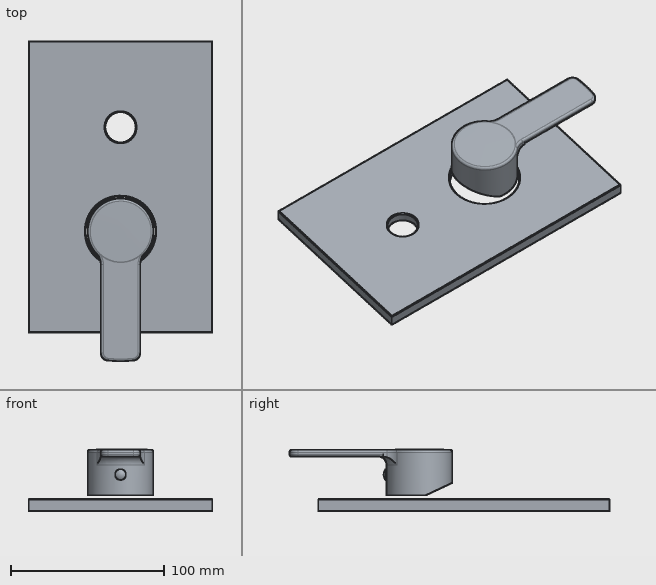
import cadquery as cq
import math


OVERALL_LENGTH = 209

PLATE_WIDTH = 120.0
PLATE_BACK = 124.0
PLATE_FRONT = 66.0
PLATE_THICKNESS = 8.0
PLATE_BEVEL = 0.5
HANDLE_HOLE_DIAMETER = 45.3
SIDE_HOLE_DIAMETER = 19.6
SIDE_HOLE_Y = 68.0
HOLE_UPPER_BEVEL = 0.73
HOLE_LOWER_BEVEL = 1.5

TOP_Z = 40.3
CAP_DIAMETER = 43.0
CAP_HEIGHT = 30.0
TOP_ROUNDING = 1.7
CAP_DOME_RISE = 0.2
SLOPE_START_Y = 4.2
SLOPE_RISE = 8.1

LEVER_WIDTH = 26.0
LEVER_THICKNESS = 4.5
LEVER_REACH = OVERALL_LENGTH - PLATE_BACK
LEVER_CORNER_RADIUS = 5.2
LEVER_END_BULGE = 1.0
LEVER_UNDER_ROUNDING = 1.5

NECK_SIDE_RADIUS = 9.5
NECK_UNDER_RADIUS = 5.2

BUTTON_DIAMETER = 7.0
BUTTON_STANDOFF = 0.5
BUTTON_DOME_RISE = 1.5
BUTTON_DROP = 16.5

CAP_RADIUS = CAP_DIAMETER / 2
CAP_BOTTOM_Z = TOP_Z - CAP_HEIGHT
LEVER_HALF_WIDTH = LEVER_WIDTH / 2
RIM_Z = TOP_Z - CAP_DOME_RISE
LEVER_BOTTOM_Z = RIM_Z - LEVER_THICKNESS


def make_dome(base_radius, rise):
    """Shallow spherical dome standing on the XY plane."""
    return (
        cq.Workplane("XZ")
        .lineTo(base_radius, 0)
        .radiusArc((0, rise), -(base_radius**2 + rise**2) / (2 * rise))
        .close()
        .revolve(360, (0, 0, 0), (0, 1, 0))
    )


def beveled_hole(diameter, y):
    """Cutter for a through hole in the plate, beveled at both rims."""
    radius = diameter / 2
    return (
        cq.Workplane("XZ")
        .lineTo(radius + HOLE_LOWER_BEVEL, 0)
        .lineTo(radius, HOLE_LOWER_BEVEL)
        .lineTo(radius, PLATE_THICKNESS - HOLE_UPPER_BEVEL)
        .lineTo(radius + HOLE_UPPER_BEVEL, PLATE_THICKNESS)
        .lineTo(0, PLATE_THICKNESS)
        .close()
        .revolve(360, (0, 0, 0), (0, 1, 0))
        .translate((0, y, 0))
    )


def make_plate():
    """Plate with beveled upper edges and two through holes."""
    plate = (
        cq.Workplane("XY")
        .center(0, (PLATE_BACK - PLATE_FRONT) / 2)
        .rect(PLATE_WIDTH, PLATE_BACK + PLATE_FRONT)
        .extrude(PLATE_THICKNESS)
        .faces(">Z")
        .edges()
        .chamfer(PLATE_BEVEL)
    )
    plate = plate.cut(beveled_hole(HANDLE_HOLE_DIAMETER, 0))
    return plate.cut(beveled_hole(SIDE_HOLE_DIAMETER, SIDE_HOLE_Y))


def make_cap():
    """Round, slightly domed cap whose underside slopes up toward the back."""
    dome = make_dome(CAP_RADIUS, CAP_DOME_RISE).translate((0, 0, RIM_Z))
    cap = (
        cq.Workplane("XY", origin=(0, 0, CAP_BOTTOM_Z))
        .circle(CAP_RADIUS)
        .extrude(RIM_Z - CAP_BOTTOM_Z)
        .union(dome)
        .edges(cq.selectors.RadiusNthSelector(0))
        .edges(">Z")
        .fillet(TOP_ROUNDING)
    )
    slope = (
        cq.Workplane("YZ")
        .moveTo(SLOPE_START_Y, CAP_BOTTOM_Z)
        .lineTo(CAP_RADIUS, CAP_BOTTOM_Z)
        .lineTo(CAP_RADIUS, CAP_BOTTOM_Z + SLOPE_RISE)
        .close()
        .extrude(CAP_RADIUS, both=True)
    )
    return cap.cut(slope)


def lever_outline():
    """Plan of the lever: flared where it leaves the cap, rounded and slightly bulged at its end."""
    flare_x = LEVER_HALF_WIDTH + NECK_SIDE_RADIUS
    flare_y = -math.sqrt((CAP_RADIUS + NECK_SIDE_RADIUS) ** 2 - flare_x**2)
    contact = CAP_RADIUS / (CAP_RADIUS + NECK_SIDE_RADIUS)
    cap_x = flare_x * contact
    cap_y = flare_y * contact
    start_angle = math.atan2(-flare_y, -flare_x)
    mid_angle = (start_angle + math.pi) / 2
    mid_x = flare_x + NECK_SIDE_RADIUS * math.cos(mid_angle)
    mid_y = flare_y + NECK_SIDE_RADIUS * math.sin(mid_angle)
    shoulder_y = -LEVER_REACH + LEVER_END_BULGE
    return (
        cq.Workplane("XY", origin=(0, 0, RIM_Z))
        .moveTo(cap_x, cap_y)
        .threePointArc((mid_x, mid_y), (LEVER_HALF_WIDTH, flare_y))
        .lineTo(LEVER_HALF_WIDTH, shoulder_y)
        .threePointArc((0, -LEVER_REACH), (-LEVER_HALF_WIDTH, shoulder_y))
        .lineTo(-LEVER_HALF_WIDTH, flare_y)
        .threePointArc((-mid_x, mid_y), (-cap_x, cap_y))
        .lineTo(0, 0)
        .close()
    )


def make_lever():
    """Flat lever with rounded end corners and rounded rims, plain where it enters the cap."""
    lever = lever_outline().extrude(-LEVER_THICKNESS)
    lever = lever.edges("|Z").edges("<Y").fillet(LEVER_CORNER_RADIUS)
    free_rim = "%CIRCLE or |Y"
    lever = lever.faces(">Z").edges(free_rim).fillet(TOP_ROUNDING)
    return lever.faces("<Z").edges(free_rim).fillet(LEVER_UNDER_ROUNDING)


def make_neck():
    """Concave fillet under the lever, swept around the cap and bounded by the lever's plan."""
    outer = CAP_RADIUS + NECK_UNDER_RADIUS
    low = LEVER_BOTTOM_Z - NECK_UNDER_RADIUS
    diagonal = NECK_UNDER_RADIUS * math.sqrt(0.5)
    ring = (
        cq.Workplane("XZ")
        .moveTo(0, low)
        .lineTo(CAP_RADIUS, low)
        .threePointArc((outer - diagonal, low + diagonal), (outer, LEVER_BOTTOM_Z))
        .lineTo(outer, LEVER_BOTTOM_Z + LEVER_UNDER_ROUNDING)
        .lineTo(0, LEVER_BOTTOM_Z + LEVER_UNDER_ROUNDING)
        .close()
        .revolve(360, (0, 0, 0), (0, 1, 0))
    )
    return ring.intersect(lever_outline().extrude(low - RIM_Z))


def make_button():
    """Round stub with a domed end that stands out from the front of the cap."""
    radius = BUTTON_DIAMETER / 2
    length = CAP_RADIUS + BUTTON_STANDOFF
    stub = cq.Workplane("XY").circle(radius).extrude(length)
    dome = make_dome(radius, BUTTON_DOME_RISE).translate((0, 0, length))
    button = stub.union(dome)
    return button.rotate((0, 0, 0), (1, 0, 0), 90).translate((0, 0, TOP_Z - BUTTON_DROP))


plate = make_plate()
handle = make_cap().union(make_lever()).union(make_neck()).union(make_button())

result = cq.Compound.makeCompound([plate.val(), handle.val()])